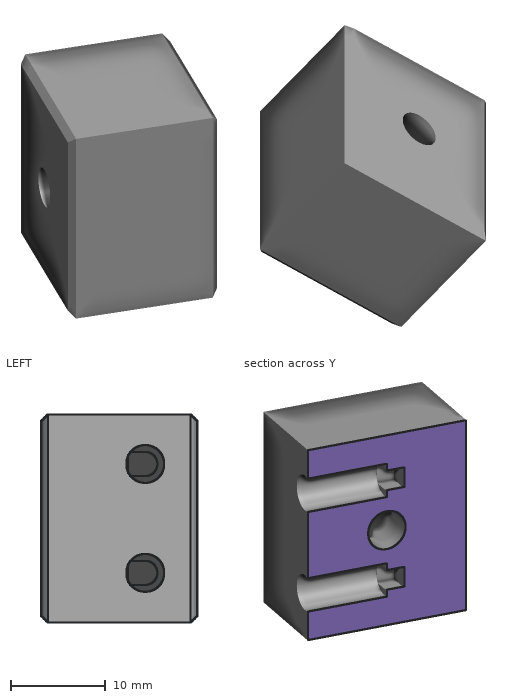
import cadquery as cq

width = 18.5
depth = 16.5
height = 22.0
chamfer = 0.7

through_hole_diameter = 4.31

bore_diameter = 4.0
bore_depth = width / 2
bore_spacing = 11.5
bore_y = -2.75

pocket_width = 2.55
pocket_reach = 1.83
pocket_depth = bore_diameter / 2


def make_block():
    block = cq.Workplane("XY").box(width, depth, height)
    return block.faces("<Y or >Y").chamfer(chamfer)


def make_through_hole():
    hole = cq.Workplane("XZ", origin=(0, depth / 2, 0))
    return hole.circle(through_hole_diameter / 2).extrude(depth)


def make_stepped_bore(bore_z):
    entry = cq.Workplane("YZ", origin=(-width / 2, bore_y, bore_z))
    bore = entry.circle(bore_diameter / 2).extrude(bore_depth)

    radius = pocket_width / 2
    floor_x = -width / 2 + bore_depth
    pocket = (
        cq.Workplane("YZ", origin=(floor_x, bore_y, bore_z))
        .moveTo(0, radius)
        .lineTo(pocket_reach, radius)
        .lineTo(pocket_reach, -radius)
        .lineTo(0, -radius)
        .threePointArc((-radius, 0), (0, radius))
        .close()
        .extrude(pocket_depth)
    )
    return bore.union(pocket)


result = make_block().cut(make_through_hole())
for side in (-1, 1):
    result = result.cut(make_stepped_bore(side * bore_spacing / 2))